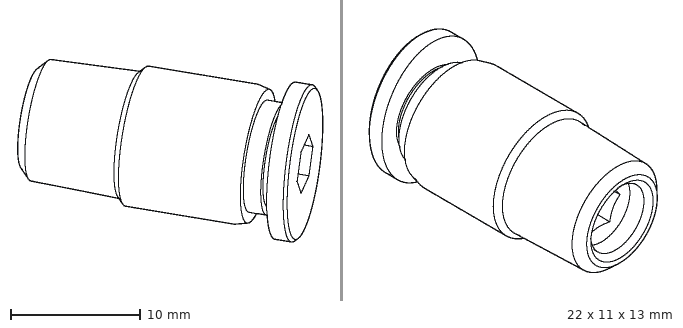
import cadquery as cq
import math


nose_chamfer = 0.8
shoulder_x = 8.0
shoulder_chamfer = 0.5
rear_taper_x = 17.2
body_end_x = 18.2
collar_end_x = 19.6
flange_x = 20.37
overall_length = 21.95

taper_big_radius = 5.0
thread_taper = 1 / 16
taper_small_radius = taper_big_radius - (shoulder_x - nose_chamfer) * thread_taper / 2
body_radius = 5.5
body_end_radius = 5.25
collar_radius = 4.4
neck_radius = 3.75
neck_flare = 0.1

flange_half_width = 5.5
flange_half_height = 6.5
flange_chamfer = 0.25

mouth_radius = 3.5
socket_radius = 3.0
mouth_chamfer = mouth_radius - socket_radius
socket_depth = 2.0
hex_across_flats = 4.0
hex_across_corners = hex_across_flats / math.cos(math.pi / 6)
drill_half_angle = math.radians(60)


def make_turned_body():
    """Tapered nose, main barrel, collar and neck as one revolved profile."""
    profile = [
        (0, 0),
        (0, taper_small_radius - nose_chamfer),
        (nose_chamfer, taper_small_radius),
        (shoulder_x, taper_big_radius),
        (shoulder_x + shoulder_chamfer, body_radius),
        (rear_taper_x, body_radius),
        (body_end_x, body_end_radius),
        (body_end_x, collar_radius),
        (collar_end_x, collar_radius),
        (collar_end_x, neck_radius),
        (flange_x - neck_flare, neck_radius),
        (flange_x, neck_radius + neck_flare),
        (flange_x, 0),
    ]
    return cq.Workplane("XY").polyline(profile).close().revolve(360, (0, 0, 0), (1, 0, 0))


def make_flange():
    """Elliptical plate, taller in Z than in Y, with a chamfered rear rim."""
    rim_x = overall_length - flange_chamfer
    plate = (
        cq.Workplane("YZ", origin=(flange_x, 0, 0))
        .ellipse(flange_half_width, flange_half_height)
        .extrude(rim_x - flange_x)
    )
    rim = (
        cq.Workplane("YZ", origin=(rim_x, 0, 0))
        .ellipse(flange_half_width, flange_half_height)
        .workplane(offset=flange_chamfer)
        .ellipse(flange_half_width - flange_chamfer, flange_half_height - flange_chamfer)
        .loft(ruled=True)
    )
    return plate.union(rim)


def make_socket():
    """Round socket with a chamfered mouth and a conical floor."""
    cone_length = socket_radius / math.tan(drill_half_angle)
    profile = [
        (0, 0),
        (0, mouth_radius),
        (mouth_chamfer, socket_radius),
        (socket_depth, socket_radius),
        (socket_depth + cone_length, 0),
    ]
    return cq.Workplane("XY").polyline(profile).close().revolve(360, (0, 0, 0), (1, 0, 0))


def make_hex_passage():
    """Hexagonal hole right through, with its corners on the Y axis."""
    return cq.Workplane("YZ").polygon(6, hex_across_corners).extrude(overall_length)


result = make_turned_body().union(make_flange()).cut(make_socket()).cut(make_hex_passage())